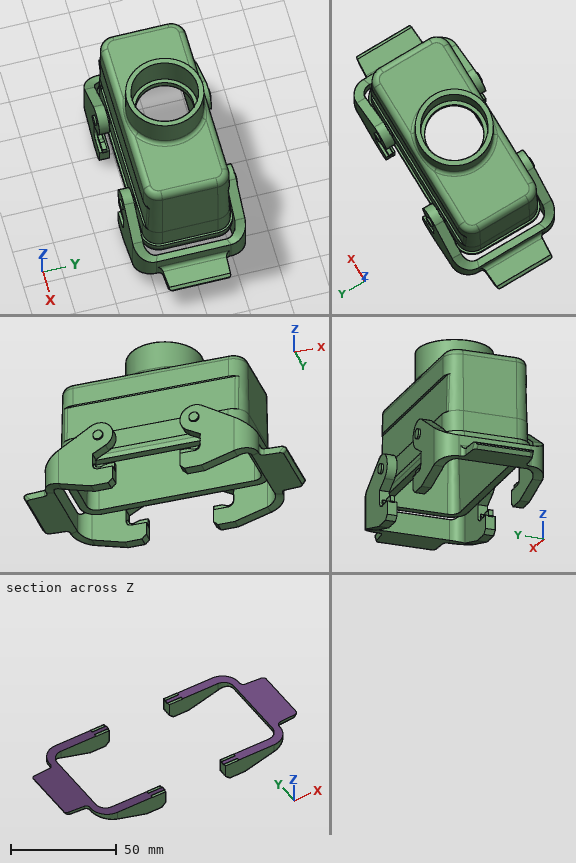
import cadquery as cq
import math

PICK_MARGIN = 0.1

HOOD_LENGTH = 93.3
HOOD_WIDTH = 42.8
HOOD_CORNER_RADIUS = 7.9
HOOD_TOP_Z = 47.8
DRAFT_START_Z = 15.5
DRAFT_ANGLE = 1.2
TOP_EDGE_RADIUS = 3.4
SIDE_WALL = 3.3
ROOF_THICKNESS = 2.2

FLANGE_OVERHANG = 1.0
FLANGE_TOP_Z = 4.7
FLANGE_BEVEL_HEIGHT = 2.4
FLANGE_BEVEL_INSET = 0.5

PANEL_TOP_Z = 34.5
PANEL_BOTTOM_Y = 20.4
PANEL_TOP_Y = 19.9
PANEL_END_RADIUS = 2.6

NECK_DIAMETER = 37.0
NECK_BORE_DIAMETER = 32.0
NECK_HOLE_DIAMETER = 28.0
NECK_TOP_Z = 63.6
NECK_BORE_BOTTOM_Z = 48.5
NECK_ROOT_RADIUS = 2.0

PIVOT_X = 24.0
PIVOT_Z = 10.0
PIN_DIAMETER = 4.8
PIN_SPAN = 57.0
BOSS_DIAMETER = 7.0

ARM_INNER_Y = 22.5
ARM_OUTER_Y = 27.5
BRIDGE_INNER_X = 49.3
BRIDGE_OUTER_X = 53.0
ELBOW_START_X = 43.9
ELBOW_INNER_RADIUS = BRIDGE_INNER_X - ELBOW_START_X
ELBOW_OUTER_RADIUS = BRIDGE_OUTER_X - ELBOW_START_X
EYE_RADIUS = 7.2

ELBOW_STEPS = 8

BRIDGE_TOP_Z = 0.0
BRIDGE_BOTTOM_Z = -10.6
LEVER_BOTTOM_Z = -18.0
BOTTOM_FLAT_X = 27.5
THROAT_X = 26.8
THROAT_TOP_Z = 0.0
THROAT_RADIUS = 2.9
HOOK_TOP_Z = -9.0
HOOK_FRONT_X = 16.8
HOOK_TOE_CHAMFER = 2.2

SEAT_WIDTH = 2.2
SEAT_DIAMETER = 4.8
SEAT_RADIUS = SEAT_DIAMETER / 2
SEAT_CENTRE_X = 23.8
SEAT_CENTRE_Z = -4.8
SEAT_TOP_Z = -6.2
SEAT_RAMP_END_X = 20.5
SEAT_FRONT_X = 16.4
SEAT_NOSE_DROP = 0.4
SEAT_ARC_END_ANGLE = -115
SEAT_ROOT_DEPTH = 1.3

TAB_TIP_X = 65.5
TAB_TOP_Z = -7.1
TAB_ROOT_HALF_WIDTH = 16.0
TAB_TIP_HALF_WIDTH = 14.9
TAB_BEVEL_LENGTH = 1.5
TAB_NOSE_TOP_Z = -8.0
TAB_NOSE_BOTTOM_Z = -8.6
TAB_CORNER_RADIUS = 1.6
TAB_ROOT_RADIUS = 2.0


def rounded_block(length, width, corner_radius, bottom_z, height, taper=0.0):
    """A centred block with rounded upright corners whose sides may lean inward going up."""
    outline = cq.Sketch().rect(length, width).vertices().fillet(corner_radius)
    return cq.Workplane().workplane(offset=bottom_z).placeSketch(outline).extrude(height, taper=taper)


def cylinder_up(diameter, bottom_z, top_z):
    """An upright cylinder on the Z axis."""
    return cq.Workplane().workplane(offset=bottom_z).circle(diameter / 2).extrude(top_z - bottom_z)


def cylinder_across(diameter, x, z, half_length):
    """A cylinder along Y, centred on Y = 0."""
    return cq.Workplane("XZ").center(x, z).circle(diameter / 2).extrude(half_length, both=True)


def radius_at(point):
    """Distance of a point from the Z axis."""
    return math.hypot(point.x, point.y)


def make_necked_block():
    """The drafted block of the hood and its neck, with rounded top edges and a filleted neck root."""
    block_height = HOOD_TOP_Z - DRAFT_START_Z
    block = rounded_block(
        HOOD_LENGTH, HOOD_WIDTH, HOOD_CORNER_RADIUS, DRAFT_START_Z, block_height, DRAFT_ANGLE
    )
    block = block.faces(">Z").edges().fillet(TOP_EDGE_RADIUS)
    block = block.union(cylinder_up(NECK_DIAMETER, DRAFT_START_Z, NECK_TOP_Z))

    reach = NECK_DIAMETER
    root_zone = cq.selectors.BoxSelector(
        (-reach, -reach, HOOD_TOP_Z - TOP_EDGE_RADIUS), (reach, reach, HOOD_TOP_Z + NECK_ROOT_RADIUS)
    )
    root_edges = [
        edge
        for edge in block.edges(root_zone).vals()
        if math.isclose(radius_at(edge.startPoint()), NECK_DIAMETER / 2, abs_tol=PICK_MARGIN)
        and math.isclose(radius_at(edge.endPoint()), NECK_DIAMETER / 2, abs_tol=PICK_MARGIN)
    ]
    return block.newObject(root_edges).fillet(NECK_ROOT_RADIUS)


def make_panel_cutter():
    """The wedge removed from the -Y side to leave a leaning flat panel."""
    return (
        cq.Workplane("YZ")
        .polyline(
            [
                (-PANEL_BOTTOM_Y, DRAFT_START_Z),
                (-HOOD_WIDTH, DRAFT_START_Z),
                (-HOOD_WIDTH, PANEL_TOP_Z),
                (-PANEL_TOP_Y, PANEL_TOP_Z),
            ]
        )
        .close()
        .extrude(HOOD_LENGTH, both=True)
    )


def cut_panels(block):
    """Cut a panel into both long sides and round its upright ends into the hood corners."""
    cutter = make_panel_cutter()
    block = block.cut(cutter).cut(cutter.mirror("XZ"))
    corner_start_x = HOOD_LENGTH / 2 - HOOD_CORNER_RADIUS
    for side_x in (-1, 1):
        for side_y in (-1, 1):
            corner_zone = cq.selectors.BoxSelector(
                (side_x * corner_start_x, side_y * (PANEL_TOP_Y - PICK_MARGIN), DRAFT_START_Z + PICK_MARGIN),
                (side_x * HOOD_LENGTH / 2, side_y * HOOD_WIDTH / 2, PANEL_TOP_Z - PICK_MARGIN),
            )
            block = block.edges(corner_zone).fillet(PANEL_END_RADIUS)
    return block


def make_flange():
    """The foot of the hood, bevelled inward below."""
    flange_length = HOOD_LENGTH + 2 * FLANGE_OVERHANG
    flange_width = HOOD_WIDTH + 2 * FLANGE_OVERHANG
    flange = rounded_block(
        flange_length, flange_width, HOOD_CORNER_RADIUS + FLANGE_OVERHANG, 0, FLANGE_TOP_Z
    )
    return flange.faces("<Z").chamfer(FLANGE_BEVEL_HEIGHT, FLANGE_BEVEL_INSET)


def make_hood():
    """The hollow hood with its neck, flange and four pivot pins."""
    lower_height = DRAFT_START_Z - FLANGE_TOP_Z
    lower_wall = rounded_block(HOOD_LENGTH, HOOD_WIDTH, HOOD_CORNER_RADIUS, FLANGE_TOP_Z, lower_height)
    hood = cut_panels(make_necked_block()).union(lower_wall).union(make_flange())
    for x in (-PIVOT_X, PIVOT_X):
        hood = hood.union(cylinder_across(BOSS_DIAMETER, x, PIVOT_Z, ARM_INNER_Y))
        hood = hood.union(cylinder_across(PIN_DIAMETER, x, PIVOT_Z, PIN_SPAN / 2))

    cavity = rounded_block(
        HOOD_LENGTH - 2 * SIDE_WALL,
        HOOD_WIDTH - 2 * SIDE_WALL,
        HOOD_CORNER_RADIUS - SIDE_WALL,
        0,
        HOOD_TOP_Z - ROOF_THICKNESS,
        DRAFT_ANGLE,
    )
    bore = cylinder_up(NECK_BORE_DIAMETER, NECK_BORE_BOTTOM_Z, NECK_TOP_Z)
    hole = cylinder_up(NECK_HOLE_DIAMETER, DRAFT_START_Z, NECK_TOP_Z)
    return hood.cut(cavity).cut(bore).cut(hole)


def eye_tangent_point(x, z, side):
    """Where the line from (x, z) touches the eye circle; side is +1 or -1 for the two tangents."""
    distance = math.hypot(x - PIVOT_X, z - PIVOT_Z)
    direction = math.atan2(z - PIVOT_Z, x - PIVOT_X)
    angle = direction + side * math.acos(EYE_RADIUS / distance)
    return (PIVOT_X + EYE_RADIUS * math.cos(angle), PIVOT_Z + EYE_RADIUS * math.sin(angle))


def height_on_line(x, start, end):
    """Height at x of the straight line from start to end, both given as (x, z)."""
    return start[1] + (end[1] - start[1]) * (x - start[0]) / (end[0] - start[0])


UPPER_TANGENT = eye_tangent_point(BRIDGE_OUTER_X, BRIDGE_TOP_Z, +1)
LOWER_TANGENT = eye_tangent_point(THROAT_X, THROAT_TOP_Z, -1)
ELBOW_TOP_Z = height_on_line(ELBOW_START_X, UPPER_TANGENT, (BRIDGE_OUTER_X, BRIDGE_TOP_Z))
ELBOW_BOTTOM_Z = height_on_line(
    ELBOW_START_X, (BOTTOM_FLAT_X, LEVER_BOTTOM_Z), (BRIDGE_OUTER_X, BRIDGE_BOTTOM_Z)
)


def make_arm():
    """The flat -Y arm of the +X lever, from its eye and hook to the elbow."""
    eye_tip = (PIVOT_X - EYE_RADIUS, PIVOT_Z)
    return (
        cq.Workplane("XZ", origin=(0, -ARM_INNER_Y, 0))
        .moveTo(ELBOW_START_X, ELBOW_BOTTOM_Z)
        .lineTo(ELBOW_START_X, ELBOW_TOP_Z)
        .lineTo(*UPPER_TANGENT)
        .threePointArc(eye_tip, LOWER_TANGENT)
        .lineTo(THROAT_X, THROAT_TOP_Z)
        .lineTo(THROAT_X, HOOK_TOP_Z + THROAT_RADIUS)
        .radiusArc((THROAT_X - THROAT_RADIUS, HOOK_TOP_Z), THROAT_RADIUS)
        .lineTo(HOOK_FRONT_X, HOOK_TOP_Z)
        .lineTo(HOOK_FRONT_X, LEVER_BOTTOM_Z + HOOK_TOE_CHAMFER)
        .lineTo(HOOK_FRONT_X + HOOK_TOE_CHAMFER, LEVER_BOTTOM_Z)
        .lineTo(BOTTOM_FLAT_X, LEVER_BOTTOM_Z)
        .close()
        .extrude(ARM_OUTER_Y - ARM_INNER_Y)
    )


def elbow_edge(radius, arm_y, arm_z, bridge_z):
    """A quarter turn from the arm to the bridge that changes height in step with its travel along X."""
    points = []
    for step in range(ELBOW_STEPS + 1):
        angle = math.pi / 2 * step / ELBOW_STEPS
        x = ELBOW_START_X + radius * math.sin(angle)
        y = -arm_y + radius * (1 - math.cos(angle))
        z = arm_z + (bridge_z - arm_z) * math.sin(angle)
        points.append(cq.Vector(x, y, z))
    return cq.Edge.makeSpline(points)


def make_elbow():
    """The twisted -Y elbow of the +X lever, whose top and bottom faces level out at the bridge."""
    outer_top = elbow_edge(ELBOW_OUTER_RADIUS, ARM_OUTER_Y, ELBOW_TOP_Z, BRIDGE_TOP_Z)
    outer_bottom = elbow_edge(ELBOW_OUTER_RADIUS, ARM_OUTER_Y, ELBOW_BOTTOM_Z, BRIDGE_BOTTOM_Z)
    inner_bottom = elbow_edge(ELBOW_INNER_RADIUS, ARM_INNER_Y, ELBOW_BOTTOM_Z, BRIDGE_BOTTOM_Z)
    inner_top = elbow_edge(ELBOW_INNER_RADIUS, ARM_INNER_Y, ELBOW_TOP_Z, BRIDGE_TOP_Z)
    rails = [outer_top, outer_bottom, inner_bottom, inner_top]
    sides = [
        cq.Face.makeRuledSurface(rail, next_rail) for rail, next_rail in zip(rails, rails[1:] + rails[:1])
    ]
    arm_end = cq.Wire.makePolygon([rail.startPoint() for rail in rails], close=True)
    bridge_end = cq.Wire.makePolygon([rail.endPoint() for rail in rails], close=True)
    ends = [cq.Face.makeFromWires(arm_end), cq.Face.makeFromWires(bridge_end)]
    elbow = cq.Solid.makeSolid(cq.Shell.makeShell(sides + ends))
    return cq.Workplane(elbow)


def make_hook_seat(centre_y):
    """The raised seat in the middle of one hook, shaped to hold a round peg."""

    def arc_point(degrees):
        angle = math.radians(degrees)
        return (SEAT_CENTRE_X + SEAT_RADIUS * math.cos(angle), SEAT_CENTRE_Z + SEAT_RADIUS * math.sin(angle))

    root_x = THROAT_X + SEAT_ROOT_DEPTH
    root_z = HOOK_TOP_Z - THROAT_RADIUS
    return (
        cq.Workplane("XZ", origin=(0, centre_y, 0))
        .moveTo(root_x, SEAT_CENTRE_Z)
        .lineTo(*arc_point(0))
        .threePointArc(arc_point(SEAT_ARC_END_ANGLE / 2), arc_point(SEAT_ARC_END_ANGLE))
        .lineTo(SEAT_RAMP_END_X, SEAT_TOP_Z)
        .lineTo(SEAT_FRONT_X, SEAT_TOP_Z)
        .lineTo(SEAT_FRONT_X, HOOK_TOP_Z)
        .lineTo(HOOK_FRONT_X, HOOK_TOP_Z - SEAT_NOSE_DROP)
        .lineTo(HOOK_FRONT_X, root_z)
        .lineTo(root_x, root_z)
        .close()
        .extrude(SEAT_WIDTH / 2, both=True)
    )


def make_tab():
    """The tapered handle tab of the +X lever, with a bevelled nose and rounded nose corners."""
    bevel_x = TAB_TIP_X - TAB_BEVEL_LENGTH
    side = (
        cq.Workplane("XZ")
        .polyline(
            [
                (BRIDGE_INNER_X, TAB_TOP_Z),
                (bevel_x, TAB_TOP_Z),
                (TAB_TIP_X, TAB_NOSE_TOP_Z),
                (TAB_TIP_X, TAB_NOSE_BOTTOM_Z),
                (bevel_x, BRIDGE_BOTTOM_Z),
                (BRIDGE_INNER_X, BRIDGE_BOTTOM_Z),
            ]
        )
        .close()
        .extrude(TAB_ROOT_HALF_WIDTH, both=True)
    )
    plan = (
        cq.Workplane()
        .workplane(offset=BRIDGE_BOTTOM_Z)
        .polyline(
            [
                (BRIDGE_INNER_X, -TAB_ROOT_HALF_WIDTH),
                (TAB_TIP_X, -TAB_TIP_HALF_WIDTH),
                (TAB_TIP_X, TAB_TIP_HALF_WIDTH),
                (BRIDGE_INNER_X, TAB_ROOT_HALF_WIDTH),
            ]
        )
        .close()
        .extrude(TAB_TOP_Z - BRIDGE_BOTTOM_Z)
    )
    tab = side.intersect(plan)
    nose_zone = cq.selectors.BoxSelector(
        (bevel_x, -TAB_ROOT_HALF_WIDTH, BRIDGE_BOTTOM_Z), (TAB_TIP_X, TAB_ROOT_HALF_WIDTH, TAB_NOSE_TOP_Z)
    )
    corner_edges = [
        edge for edge in tab.edges(nose_zone).vals() if edge.Length() < TAB_ROOT_HALF_WIDTH
    ]
    return tab.newObject(corner_edges).fillet(TAB_CORNER_RADIUS)


def make_bridge():
    """The level bridge of the +X lever with its handle tab, filleted along the top and sides of its root."""
    outer_half_width = ARM_OUTER_Y - ELBOW_OUTER_RADIUS
    inner_half_width = ARM_INNER_Y - ELBOW_INNER_RADIUS
    bridge = (
        cq.Workplane()
        .workplane(offset=BRIDGE_BOTTOM_Z)
        .polyline(
            [
                (BRIDGE_OUTER_X, -outer_half_width),
                (BRIDGE_OUTER_X, outer_half_width),
                (BRIDGE_INNER_X, inner_half_width),
                (BRIDGE_INNER_X, -inner_half_width),
            ]
        )
        .close()
        .extrude(BRIDGE_TOP_Z - BRIDGE_BOTTOM_Z)
    )
    bridge = bridge.union(make_tab())
    root_zone = cq.selectors.BoxSelector(
        (BRIDGE_OUTER_X - PICK_MARGIN, -outer_half_width, BRIDGE_BOTTOM_Z + PICK_MARGIN),
        (BRIDGE_OUTER_X + PICK_MARGIN, outer_half_width, TAB_TOP_Z + PICK_MARGIN),
    )
    return bridge.edges(root_zone).fillet(TAB_ROOT_RADIUS)


def make_lever():
    """The +X lever: a bridge with a handle tab, and an elbow and a hooked arm on each side."""
    arm = make_arm().union(make_hook_seat(-(ARM_INNER_Y + ARM_OUTER_Y) / 2))
    side = arm.union(make_elbow())
    lever = make_bridge().union(side).union(side.mirror("XZ"))
    return lever.cut(cylinder_across(PIN_DIAMETER, PIVOT_X, PIVOT_Z, PIN_SPAN / 2))


hood = make_hood()
levers = [make_lever().rotate((0, 0, 0), (0, 0, 1), angle) for angle in (0, 180)]

result = cq.Compound.makeCompound([hood.val(), *[lever.val() for lever in levers]])